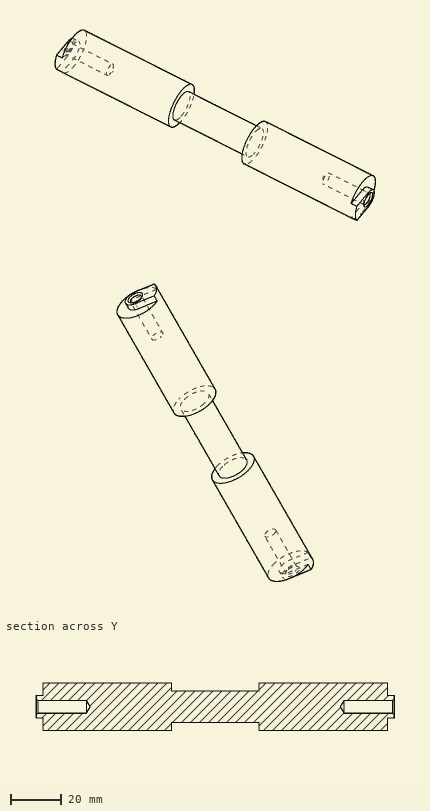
import cadquery as cq
import math

total_length = 142.8
body_diameter = 19.0
neck_diameter = 12.7
neck_length = 34.9

tongue_height = 2.7
tongue_width = 9.0

hole_diameter = 5.0
hole_depth = 20.0
countersink_diameter = 6.4
drill_point_angle = 118.0

half_length = total_length / 2
half_neck = neck_length / 2
body_radius = body_diameter / 2
hole_radius = hole_diameter / 2
countersink_radius = countersink_diameter / 2


def make_body():
    """Cylindrical body of one end, running to the tip of its tongue."""
    return (
        cq.Workplane("YZ", origin=(half_neck, 0, 0))
        .circle(body_radius)
        .extrude(half_length - half_neck)
    )


def make_end_relief():
    """Material removed around the round-nosed tongue."""
    face = cq.Workplane("YZ", origin=(half_length - tongue_height, 0, 0))
    surround = face.circle(body_diameter).extrude(tongue_height)
    nose = face.circle(tongue_width / 2).extrude(tongue_height)
    bar = (
        face.center(-body_diameter / 2, 0)
        .rect(body_diameter, tongue_width)
        .extrude(tongue_height)
    )
    return surround.cut(nose.union(bar))


def make_hole():
    """Countersunk blind hole with a conical drill point."""
    countersink_depth = countersink_radius - hole_radius
    point_depth = hole_radius / math.tan(math.radians(drill_point_angle / 2))
    hole_bottom = half_length - hole_depth
    return (
        cq.Workplane("XY")
        .moveTo(half_length, 0)
        .lineTo(half_length, countersink_radius)
        .lineTo(half_length - countersink_depth, hole_radius)
        .lineTo(hole_bottom, hole_radius)
        .lineTo(hole_bottom - point_depth, 0)
        .close()
        .revolve(360, (0, 0, 0), (1, 0, 0))
    )


end = make_body().cut(make_end_relief()).cut(make_hole())
neck = (
    cq.Workplane("YZ", origin=(-half_neck, 0, 0))
    .circle(neck_diameter / 2)
    .extrude(neck_length)
)
result = neck.union(end).union(end.mirror("YZ"))